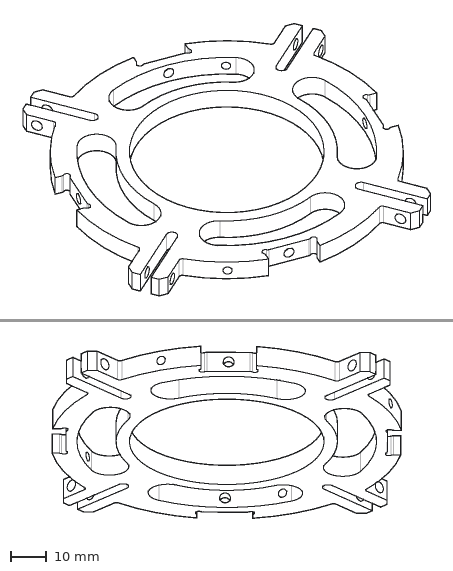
import cadquery as cq
import math

span = 120.0
thickness = 6.0
mid_height = thickness / 2

disc_radius = 49.5
bore_radius = 27.2

arm_width = 12.0
arm_chamfer = 1.9
arm_root_fillet = 1.0
arm_slot_width = 3.2
arm_slot_bottom = 39.0
arm_hole_diameter = 3.2
arm_hole_radius = 55.0

window_path_radius = 36.5
window_width = 10.9
window_end_angle = 18.7

notch_floor = 45.0
notch_width = 15.6
relief_radius = 1.0
relief_inset = 0.5
relief_lip_fillet = 1.0

notch_hole_diameter = 3.0
rim_hole_diameter = 2.5
rim_hole_angle = 22.5

quarter_angles = [0, 90, 180, 270]
diagonal_angle = 45


def polar(radius, angle):
    """Point at the given radius and angle in degrees."""
    return radius * math.cos(math.radians(angle)), radius * math.sin(math.radians(angle))


def turned(shape, angle):
    """Copy of a shape turned about the Z axis."""
    return shape.rotate((0, 0, 0), (0, 0, 1), angle)


def make_body():
    """Disc with four chamfered arms and small fillets where they meet."""
    bar = cq.Workplane("XY").box(span, arm_width, thickness, centered=(True, True, False))
    bar = bar.edges("|Z").chamfer(arm_chamfer)
    disc = cq.Workplane("XY").circle(disc_radius).extrude(thickness)
    body = disc.union(bar).union(turned(bar, 90))
    root_angle = math.degrees(math.asin(arm_width / 2 / disc_radius))
    for arm_angle in quarter_angles:
        for side in (1, -1):
            root_x, root_y = polar(disc_radius, arm_angle + side * root_angle)
            root_edge = cq.selectors.NearestToPointSelector((root_x, root_y, mid_height))
            body = body.edges(root_edge).fillet(arm_root_fillet)
    return body


def make_arm_slot():
    """Round-bottomed slot that splits the +X arm."""
    bottom_centre = arm_slot_bottom + arm_slot_width / 2
    straight = (
        cq.Workplane("XY")
        .box(span / 2 - bottom_centre, arm_slot_width, thickness, centered=(False, True, False))
        .translate((bottom_centre, 0, 0))
    )
    bottom = cq.Workplane("XY").center(bottom_centre, 0).circle(arm_slot_width / 2).extrude(thickness)
    return straight.union(bottom)


def make_arm_hole():
    """Clamp screw hole across both prongs of the +X arm."""
    return (
        cq.Workplane("XZ")
        .center(arm_hole_radius, mid_height)
        .circle(arm_hole_diameter / 2)
        .extrude(arm_width / 2, both=True)
    )


def make_window():
    """Curved, round-ended window between the +X and +Y arms."""
    inner = window_path_radius - window_width / 2
    outer = window_path_radius + window_width / 2
    start = window_end_angle
    end = 90 - window_end_angle
    start_x, start_y = polar(window_path_radius, start)
    end_x, end_y = polar(window_path_radius, end)
    cap_x, cap_y = polar(window_width / 2, start - 90)
    return (
        cq.Workplane("XY")
        .moveTo(*polar(inner, start))
        .threePointArc((start_x + cap_x, start_y + cap_y), polar(outer, start))
        .threePointArc(polar(outer, diagonal_angle), polar(outer, end))
        .threePointArc((end_x + cap_y, end_y + cap_x), polar(inner, end))
        .threePointArc(polar(inner, diagonal_angle), polar(inner, start))
        .close()
        .extrude(thickness)
    )


def make_notch():
    """Flat-floored rim notch on the diagonal, with a round-lipped relief in each corner."""
    depth = disc_radius - notch_floor
    notch = (
        cq.Workplane("XY")
        .box(depth, notch_width, thickness, centered=(False, True, False))
        .translate((notch_floor, 0, 0))
    )
    relief_x = notch_floor + relief_inset
    relief_y = notch_width / 2 - relief_inset
    reliefs = (
        cq.Workplane("XY")
        .pushPoints([(relief_x, relief_y), (relief_x, -relief_y)])
        .circle(relief_radius)
        .extrude(thickness)
    )
    notch = notch.union(reliefs)
    lip_offset = math.sqrt(relief_radius**2 - relief_inset**2)
    for side in (1, -1):
        lips = [
            (notch_floor, side * (relief_y - lip_offset)),
            (relief_x + lip_offset, side * notch_width / 2),
        ]
        for lip_x, lip_y in lips:
            lip_edge = cq.selectors.NearestToPointSelector((lip_x, lip_y, mid_height))
            notch = notch.edges(lip_edge).fillet(relief_lip_fillet)
    return turned(notch, diagonal_angle)


def make_radial_hole(diameter, angle):
    """Radial hole through the outer rim, from the window path outwards."""
    hole = (
        cq.Workplane("YZ", origin=(window_path_radius, 0, mid_height))
        .circle(diameter / 2)
        .extrude(disc_radius - window_path_radius)
    )
    return turned(hole, angle)


quarter_cutters = [
    make_arm_slot(),
    make_arm_hole(),
    make_window(),
    make_notch(),
    make_radial_hole(notch_hole_diameter, diagonal_angle),
    make_radial_hole(rim_hole_diameter, rim_hole_angle),
]

result = make_body().cut(cq.Workplane("XY").circle(bore_radius).extrude(thickness))
for quarter in quarter_angles:
    for cutter in quarter_cutters:
        result = result.cut(turned(cutter, quarter))